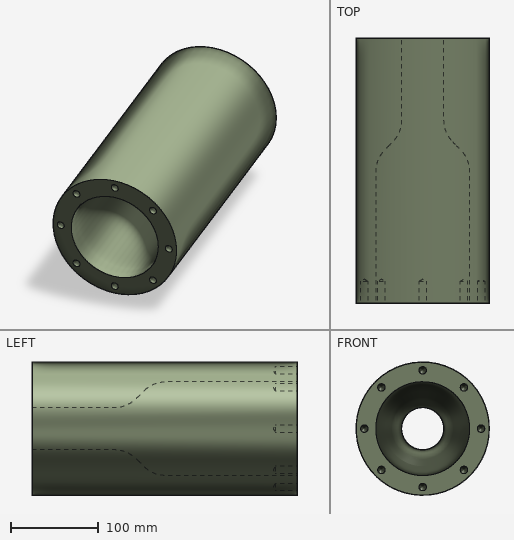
import cadquery as cq
import math

LENGTH = 303.0
OUTER_RADIUS = 152.4 / 2

THROAT_RADIUS = 24.0
CHAMBER_TO_THROAT_AREA = 5.0
CHAMBER_RADIUS = THROAT_RADIUS * math.sqrt(CHAMBER_TO_THROAT_AREA)
CHAMBER_LENGTH = 150.0
CONE_ANGLE = math.radians(45.0)
BLEND_RADIUS = 36.0

HOLE_COUNT = 8
HOLE_CIRCLE_RADIUS = 133.35 / 2
HOLE_RADIUS = 8.5 / 2
HOLE_DEPTH = 25.0
DRILL_POINT_ANGLE = math.radians(118.0)

FRONT_Y = -LENGTH / 2
BACK_Y = LENGTH / 2
AXIS_START = (0, 0, 0)
AXIS_END = (0, 1, 0)


def blend_point(center, angle):
    """Point (radius, y) on a blend arc; the angle runs from outward towards +Y."""
    center_r, center_y = center
    return (center_r + BLEND_RADIUS * math.cos(angle), center_y + BLEND_RADIUS * math.sin(angle))


def revolve_about_y(profile):
    return profile.close().revolve(360, AXIS_START, AXIS_END)


def make_tube_blank():
    return cq.Workplane("XZ", origin=(0, BACK_Y, 0)).circle(OUTER_RADIUS).extrude(LENGTH)


def make_cavity():
    """Solid filling the chamber, the blended cone and the throat bore."""
    chamber_end_y = FRONT_Y + CHAMBER_LENGTH
    chamber_center = (CHAMBER_RADIUS - BLEND_RADIUS, chamber_end_y)
    chamber_blend_mid = blend_point(chamber_center, CONE_ANGLE / 2)
    cone_start_r, cone_start_y = blend_point(chamber_center, CONE_ANGLE)

    cone_end_r = THROAT_RADIUS + BLEND_RADIUS * (1 - math.cos(CONE_ANGLE))
    cone_end_y = cone_start_y + (cone_start_r - cone_end_r) / math.tan(CONE_ANGLE)
    throat_y = cone_end_y + BLEND_RADIUS * math.sin(CONE_ANGLE)
    throat_center = (THROAT_RADIUS + BLEND_RADIUS, throat_y)
    throat_blend_mid = blend_point(throat_center, math.pi + CONE_ANGLE / 2)

    profile = (
        cq.Workplane("XY")
        .moveTo(0, FRONT_Y)
        .lineTo(CHAMBER_RADIUS, FRONT_Y)
        .lineTo(CHAMBER_RADIUS, chamber_end_y)
        .threePointArc(chamber_blend_mid, (cone_start_r, cone_start_y))
        .lineTo(cone_end_r, cone_end_y)
        .threePointArc(throat_blend_mid, (THROAT_RADIUS, throat_y))
        .lineTo(THROAT_RADIUS, BACK_Y)
        .lineTo(0, BACK_Y)
    )
    return revolve_about_y(profile)


def make_drilled_hole():
    """Solid of one hole with its conical drill point, on the +X side of the axis."""
    tip_depth = HOLE_DEPTH + HOLE_RADIUS / math.tan(DRILL_POINT_ANGLE / 2)
    profile = cq.Workplane("XY", origin=(HOLE_CIRCLE_RADIUS, FRONT_Y, 0)).polyline(
        [(0, 0), (HOLE_RADIUS, 0), (HOLE_RADIUS, HOLE_DEPTH), (0, tip_depth)]
    )
    return revolve_about_y(profile)


def drill_holes(body):
    hole = make_drilled_hole()
    for index in range(HOLE_COUNT):
        body = body.cut(hole.rotate(AXIS_START, AXIS_END, index * 360 / HOLE_COUNT))
    return body


result = drill_holes(make_tube_blank().cut(make_cavity()))